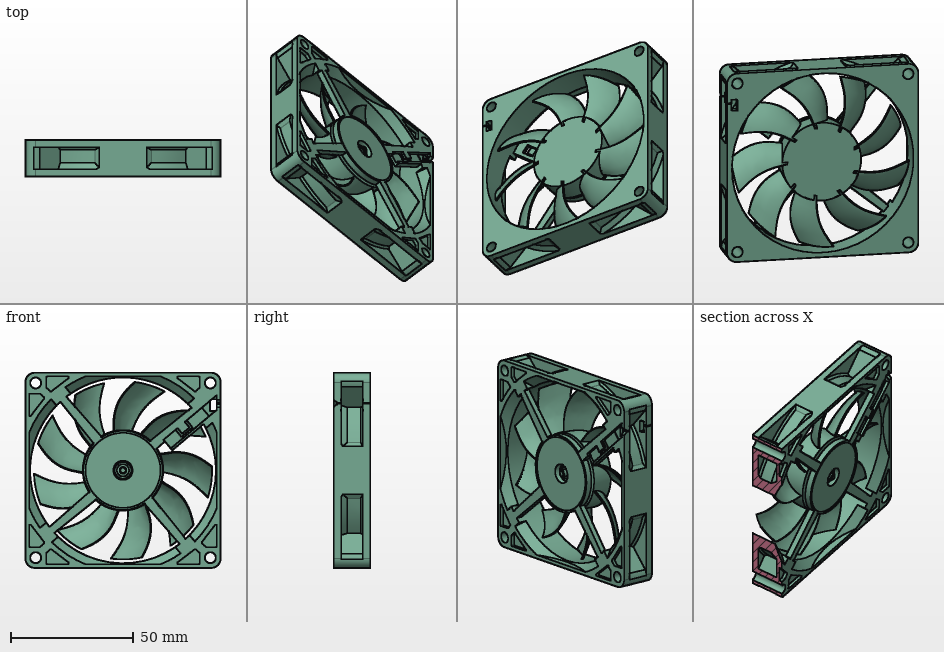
import cadquery as cq
import math

SIDE = 80.0
DEPTH = 15.0
HALF = SIDE / 2
CORNER_RADIUS = 4.0
SCREW_PITCH = 71.5
SCREW_DIAMETER = 4.4

THROAT_RADIUS = 38.0
FLARE_RADIUS = 41.4
FLARE_DEPTH = 3.6
FLARE_HALF_WIDTH = 38.4

FLANGE = 3.0
POCKET_INNER_END = 9.8
POCKET_FLOOR_END = 11.5
POCKET_OUTER_END = 36.7
BOSS_EDGE = 34.1
BOSS_EDGE_DROP = 0.8
WEB_OFFSET = 5.6
DUCT_OUTER_RADIUS = 40.4
DUCT_FRONT_RADIUS = 41.5
DUCT_BACK_RADIUS = 41.2
DUCT_FRONT_TAPER = 2.6
DUCT_BACK_TAPER = 1.0

RECESS_DEPTH = 1.5
RECESS_OUTER = 38.4
RECESS_SIDE = 31.4
RECESS_BEVEL_HEIGHT = 33.9
RECESS_TIP = (29.6, 32.1)
RECESS_TOE = 21.4
RECESS_ROUND = 0.4

STRUT_ANGLE = 40.0
STRUT_ROOT_HALF = 2.1
STRUT_TIP_HALF = 1.6
STRUT_THICKNESS = 2.5
PLATFORM_HALF = 3.8
PLATFORM_END = 44.0
BASE_RADIUS = 16.2
BASE_THICKNESS = 2.6
BASE_FACE_RADIUS = 15.35
BASE_FACE_DEPTH = 0.2
BEARING_MOUTH_RADIUS = 4.0
BEARING_FLOOR_RADIUS = 3.4
BEARING_DEPTH = 2.2
BEARING_BORE_RADIUS = 2.5

CABLE_ARM_START = 20.7
CABLE_ARM_LOW = -6.7
CABLE_PLATFORM_LOW = -8.6
CHANNEL_LOW = -5.7
CHANNEL_HIGH = -1.1
CHANNEL_DEPTH = 1.3
CHANNEL_STEP_START = 41.2
CHANNEL_STEP_DEPTH = 1.5
CHANNEL_END_X = 38.3
CHANNEL_END_LENGTH = 55.0
CLIP_WINDOW = (27.1, 33.1, -4.9, CHANNEL_HIGH)
CLIP_TAB = (28.2, 32.1, -4.05, -0.8)
CLIP_TAB_THICKNESS = 1.0
CABLE_WINDOW_X = 35.65
CABLE_WINDOW_BOTTOM = 24.3
CABLE_WINDOW_TOP = 29.0
SLIT_HEIGHT = 27.4
SLIT_WIDTH = 0.4
SLIT_MOUTH_WIDTH = 3.0
SLIT_MOUTH_DEPTH = 1.5

ROTOR_RADIUS = 16.5
ROTOR_FRONT = 3.8
ROTOR_BACK = 12.9
SHAFT_RADIUS = 1.4
SHAFT_CHAMFER = 0.3
SHAFT_FRONT = 0.2
BLADE_COUNT = 9
BLADE_TIP_RADIUS = 36.5
BLADE_THICKNESS = 0.6
BLADE_FRONT = 4.7
BLADE_BACK = 13.0
BLADE_CAMBER = 1.6
BLADE_SECTIONS = [
    (14.5, 158.8, 185.5),
    (20.0, 156.0, 181.0),
    (26.0, 151.9, 176.0),
    (32.0, 146.4, 168.6),
    (38.0, 141.2, 160.2),
]


def front_plane(y=0.0):
    """Workplane facing the front: local x is X, local y is Z, at depth y."""
    return cq.Workplane("XZ", origin=(0, y, 0))


def disc(radius, y_start, y_end):
    return front_plane(y_start).circle(radius).extrude(y_start - y_end)


def prism(points, y_start, y_end):
    return front_plane(y_start).polyline(points).close().extrude(y_start - y_end)


def turned(profile):
    """Solid of revolution about the fan axis from (radius, y) points."""
    return cq.Workplane("XY").polyline(profile).close().revolve(360, (0, 0, 0), (0, 1, 0))


def spin(body, angle):
    """Turn counter-clockwise as seen from the front."""
    return body.rotate((0, 0, 0), (0, 1, 0), -angle)


def along_strut(start, end, low, high, y_start, y_end):
    """Box given along and across the cable strut."""
    corners = [(start, low), (end, low), (end, high), (start, high)]
    return spin(prism(corners, y_start, y_end), STRUT_ANGLE)


def strut(angle):
    corners = [
        (0, -STRUT_ROOT_HALF),
        (BASE_RADIUS, -STRUT_ROOT_HALF),
        (THROAT_RADIUS + 1, -STRUT_TIP_HALF),
        (THROAT_RADIUS + 1, STRUT_TIP_HALF),
        (BASE_RADIUS, STRUT_ROOT_HALF),
        (0, STRUT_ROOT_HALF),
    ]
    return spin(prism(corners, 0, STRUT_THICKNESS), angle)


def side_pockets():
    """Pocket beside each screw boss, in from every side, down to the duct wall."""
    surface = HALF + 1
    deep = THROAT_RADIUS / math.sqrt(2)
    boss_mid = (POCKET_OUTER_END + BOSS_EDGE) / 2
    floor_end_z = math.sqrt(DUCT_OUTER_RADIUS**2 - POCKET_FLOOR_END**2)
    outline = (
        front_plane(FLANGE)
        .moveTo(POCKET_INNER_END, surface)
        .lineTo(POCKET_INNER_END, HALF)
        .lineTo(POCKET_FLOOR_END, floor_end_z)
        .lineTo(deep - WEB_OFFSET, deep)
        .lineTo(BOSS_EDGE, HALF - BOSS_EDGE_DROP)
        .threePointArc((boss_mid, HALF - BOSS_EDGE_DROP / 3), (POCKET_OUTER_END, HALF))
        .lineTo(POCKET_OUTER_END, surface)
        .close()
    )
    duct = turned([
        (0, FLANGE),
        (DUCT_FRONT_RADIUS, FLANGE),
        (DUCT_OUTER_RADIUS, FLANGE + DUCT_FRONT_TAPER),
        (DUCT_OUTER_RADIUS, DEPTH - FLANGE - DUCT_BACK_TAPER),
        (DUCT_BACK_RADIUS, DEPTH - FLANGE),
        (0, DEPTH - FLANGE),
    ])
    pocket = outline.extrude(2 * FLANGE - DEPTH).cut(duct)
    pair = [pocket, pocket.mirror("YZ")]
    return [spin(half, 90 * turn) for turn in range(4) for half in pair]


def corner_recesses():
    """Two recesses per corner; the cable outlet takes the place of one."""
    outline = [
        (RECESS_TOE, RECESS_OUTER),
        RECESS_TIP,
        (RECESS_SIDE, RECESS_BEVEL_HEIGHT),
        (RECESS_SIDE, RECESS_OUTER),
    ]
    recess = prism(outline, 0, RECESS_DEPTH).edges("|Y").fillet(RECESS_ROUND)
    left_hand = [spin(recess.mirror("YZ"), 90 * turn) for turn in range(4)]
    right_hand = [spin(recess, 90 * turn) for turn in range(4)]
    cable_corner = 3
    return right_hand + left_hand[:cable_corner] + left_hand[cable_corner + 1:]


def flare():
    """Conical front mouth of the duct, cut off by the sides and by the strut platforms."""
    cone = turned([
        (0, 0),
        (FLARE_RADIUS, 0),
        (THROAT_RADIUS, FLARE_DEPTH),
        (0, FLARE_DEPTH),
    ])
    square = front_plane().rect(2 * FLARE_HALF_WIDTH, 2 * FLARE_HALF_WIDTH).extrude(-FLARE_DEPTH)
    mouth = cone.intersect(square).cut(disc(THROAT_RADIUS, 0, FLARE_DEPTH))
    platform_outline = [
        (0, -PLATFORM_HALF),
        (PLATFORM_END, -PLATFORM_HALF),
        (PLATFORM_END, PLATFORM_HALF),
        (0, PLATFORM_HALF),
    ]
    platform = prism(platform_outline, 0, FLARE_DEPTH)
    for turn in range(4):
        mouth = mouth.cut(spin(platform, STRUT_ANGLE + 90 * turn))
    return mouth.cut(along_strut(0, PLATFORM_END, CABLE_PLATFORM_LOW, 0, 0, FLARE_DEPTH))


def cut_cable_channel(body):
    """Open channel along one strut, with a clip tab and a window to the back."""
    end_limit = front_plane().rect(2 * CHANNEL_END_X, 2 * CHANNEL_END_X).extrude(-DEPTH)
    channel = along_strut(
        CABLE_ARM_START, CHANNEL_END_LENGTH, CHANNEL_LOW, CHANNEL_HIGH, 0, CHANNEL_DEPTH
    )
    step = along_strut(
        CHANNEL_STEP_START, CHANNEL_END_LENGTH, CHANNEL_LOW, CHANNEL_HIGH, 0, CHANNEL_STEP_DEPTH
    )
    window_outline = [
        (CABLE_WINDOW_X, CABLE_WINDOW_BOTTOM),
        (CHANNEL_END_X, CABLE_WINDOW_BOTTOM),
        (CHANNEL_END_X, CABLE_WINDOW_TOP),
        (CABLE_WINDOW_X, CABLE_WINDOW_TOP),
    ]
    channel_line = along_strut(0, CHANNEL_END_LENGTH, CHANNEL_LOW, CHANNEL_HIGH, 0, DEPTH)
    window = prism(window_outline, 0, DEPTH).intersect(channel_line)
    body = body.cut(channel.intersect(end_limit)).cut(step.intersect(end_limit)).cut(window)
    body = body.cut(along_strut(*CLIP_WINDOW, 0, STRUT_THICKNESS))
    return body.union(along_strut(*CLIP_TAB, 0, CLIP_TAB_THICKNESS))


def cable_slit():
    """Slit through the +X wall, widened into a V at the front."""
    wall = HALF - CHANNEL_END_X
    half_mouth = SLIT_MOUTH_WIDTH / 2
    half_slit = SLIT_WIDTH / 2
    outline = [
        (0, SLIT_HEIGHT - half_mouth),
        (SLIT_MOUTH_DEPTH, SLIT_HEIGHT - half_slit),
        (DEPTH, SLIT_HEIGHT - half_slit),
        (DEPTH, SLIT_HEIGHT + half_slit),
        (SLIT_MOUTH_DEPTH, SLIT_HEIGHT + half_slit),
        (0, SLIT_HEIGHT + half_mouth),
    ]
    return cq.Workplane("YZ", origin=(CHANNEL_END_X, 0, 0)).polyline(outline).close().extrude(wall)


def bearing_recess():
    """Tapered recess around the shaft, with a clear bore through the motor base."""
    return turned([
        (0, 0),
        (BEARING_MOUTH_RADIUS, 0),
        (BEARING_FLOOR_RADIUS, BEARING_DEPTH),
        (BEARING_BORE_RADIUS, BEARING_DEPTH),
        (BEARING_BORE_RADIUS, BASE_THICKNESS),
        (0, BASE_THICKNESS),
    ])


def make_frame():
    body = front_plane().rect(SIDE, SIDE).extrude(-DEPTH).edges("|Y").fillet(CORNER_RADIUS)
    body = body.cut(disc(THROAT_RADIUS, 0, DEPTH))
    body = body.union(disc(BASE_RADIUS, 0, BASE_THICKNESS))
    for turn in range(4):
        body = body.union(strut(STRUT_ANGLE + 90 * turn))
    body = body.union(along_strut(
        CABLE_ARM_START, THROAT_RADIUS, CABLE_ARM_LOW, 0, 0, STRUT_THICKNESS
    ))
    for cutter in side_pockets() + corner_recesses():
        body = body.cut(cutter)
    body = body.cut(flare())
    screw_holes = front_plane().rect(SCREW_PITCH, SCREW_PITCH, forConstruction=True).vertices()
    body = body.cut(screw_holes.circle(SCREW_DIAMETER / 2).extrude(-DEPTH))
    body = body.cut(disc(BASE_FACE_RADIUS, 0, BASE_FACE_DEPTH)).cut(bearing_recess())
    body = cut_cable_channel(body)
    return body.cut(cable_slit())


def blade_section(radius, back_angle, front_angle):
    """Thin cambered section whose two ends lie at the given radius and angles."""
    middle = math.radians((back_angle + front_angle) / 2)
    half_span = math.radians((front_angle - back_angle) / 2)
    half_chord = radius * math.sin(half_span)
    plane = cq.Plane(
        origin=(
            radius * math.cos(half_span) * math.cos(middle),
            (BLADE_FRONT + BLADE_BACK) / 2,
            radius * math.cos(half_span) * math.sin(middle),
        ),
        xDir=(-math.sin(middle), 0, math.cos(middle)),
        normal=(math.cos(middle), 0, math.sin(middle)),
    )
    toward_back = 1 if plane.yDir.y > 0 else -1
    half_depth = (BLADE_BACK - BLADE_FRONT) / 2 * toward_back
    length = math.hypot(half_chord, half_depth)
    across = (half_depth / length, half_chord / length)
    shift = BLADE_THICKNESS / 2
    bow = BLADE_CAMBER * toward_back

    def at(chord, depth, side):
        return (chord + across[0] * side, depth + across[1] * side)

    return (
        cq.Workplane(plane)
        .moveTo(*at(-half_chord, half_depth, -shift))
        .threePointArc(at(0, 0, bow - shift), at(half_chord, -half_depth, -shift))
        .lineTo(*at(half_chord, -half_depth, shift))
        .threePointArc(at(0, 0, bow + shift), at(-half_chord, half_depth, shift))
        .close()
        .val()
    )


def make_blade():
    wires = [blade_section(*section) for section in BLADE_SECTIONS]
    blade = cq.Workplane(cq.Solid.makeLoft(wires))
    return blade.intersect(disc(BLADE_TIP_RADIUS, 0, DEPTH))


def make_rotor():
    body = disc(ROTOR_RADIUS, ROTOR_FRONT, ROTOR_BACK)
    shaft = disc(SHAFT_RADIUS, SHAFT_FRONT, ROTOR_FRONT).faces("<Y").chamfer(SHAFT_CHAMFER)
    body = body.union(shaft)
    blade = make_blade()
    for index in range(BLADE_COUNT):
        body = body.union(spin(blade, index * 360 / BLADE_COUNT))
    return body


frame = make_frame()
rotor = make_rotor()
result = cq.Compound.makeCompound([frame.val(), rotor.val()])